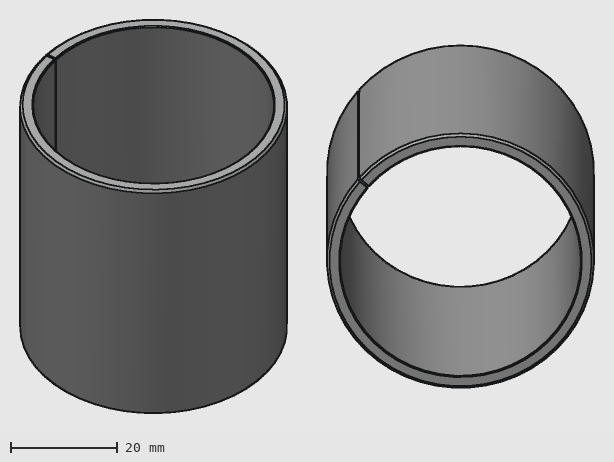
import cadquery as cq

length = 55
outer_diameter = 50.0
wall = 2.5
outer_chamfer = 0.5
inner_chamfer = 0.2
slit_angle = 1

outer_radius = outer_diameter / 2
inner_radius = outer_radius - wall

wall_section = (
    cq.Workplane("XZ")
    .moveTo(inner_radius + inner_chamfer, 0)
    .lineTo(outer_radius - outer_chamfer, 0)
    .lineTo(outer_radius, outer_chamfer)
    .lineTo(outer_radius, length - outer_chamfer)
    .lineTo(outer_radius - outer_chamfer, length)
    .lineTo(inner_radius + inner_chamfer, length)
    .lineTo(inner_radius, length - inner_chamfer)
    .lineTo(inner_radius, inner_chamfer)
    .close()
)

split_tube = wall_section.revolve(360 - slit_angle, (0, 0, 0), (0, 1, 0))

result = split_tube.rotate((0, 0, 0), (0, 0, 1), 180)